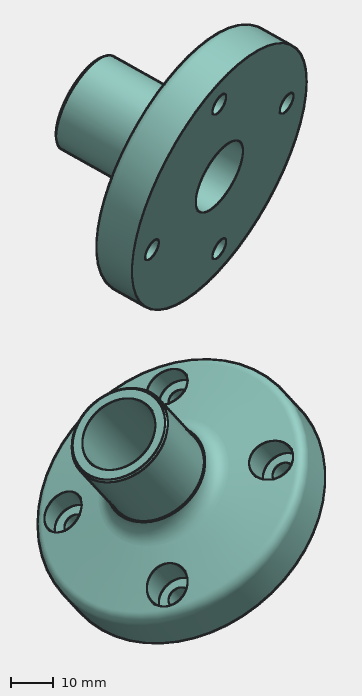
import cadquery as cq
import math

total_length = 38.5
flange_radius = 35.05
rim_width = 9.0
rim_round = 2.5
cone_angle = math.radians(10)

tube_radius = 12.5
bore_diameter = 18.9
tube_chamfer = 0.5

neck_length = 18.6
neck_round = 5.0
neck_cone_radius = 16.9

hole_count = 4
hole_circle_radius = 27.0
hole_diameter = 5.5
counterbore_diameter = 10.5
hole_floor_thickness = 6.0


def point_on_arc(center, radius, angle):
    """Point at an angle measured from the +X direction."""
    return (center[0] + radius * math.cos(angle), center[1] + radius * math.sin(angle))


def make_body():
    """Revolve the half profile, given as (x, radius), about the X axis."""
    back_x = total_length / 2
    front_x = -total_length / 2
    neck_x = back_x - neck_length

    rim_center = (back_x - rim_width, flange_radius - rim_round)
    rim_start = (rim_center[0], flange_radius)
    rim_end_angle = math.pi - cone_angle
    rim_mid = point_on_arc(rim_center, rim_round, (math.pi / 2 + rim_end_angle) / 2)
    rim_end = point_on_arc(rim_center, rim_round, rim_end_angle)

    cone_inner_x = rim_end[0] - (rim_end[1] - neck_cone_radius) * math.tan(cone_angle)
    cone_inner = (cone_inner_x, neck_cone_radius)
    neck_start_angle = -cone_angle
    neck_center = point_on_arc(cone_inner, neck_round, math.pi - cone_angle)
    neck_end_angle = -math.acos((neck_x - neck_center[0]) / neck_round)
    neck_mid = point_on_arc(neck_center, neck_round, (neck_start_angle + neck_end_angle) / 2)
    neck_end = point_on_arc(neck_center, neck_round, neck_end_angle)

    profile = (
        cq.Workplane("XY")
        .moveTo(front_x, 0)
        .lineTo(front_x, tube_radius - tube_chamfer)
        .lineTo(front_x + tube_chamfer, tube_radius)
        .lineTo(neck_x, tube_radius)
        .lineTo(*neck_end)
        .threePointArc(neck_mid, cone_inner)
        .lineTo(*rim_end)
        .threePointArc(rim_mid, rim_start)
        .lineTo(back_x, flange_radius)
        .lineTo(back_x, 0)
        .close()
    )
    return profile.revolve(360, (0, 0, 0), (1, 0, 0))


def cylinder_from_back(diameter, start, length):
    """Cylinder along -X that starts at a distance in front of the mounting face."""
    return (
        cq.Workplane("YZ")
        .workplane(offset=total_length / 2 - start)
        .circle(diameter / 2)
        .extrude(-length)
    )


def make_mounting_hole():
    """Cutter for one counterbored hole at the top of the hole circle."""
    through_hole = cylinder_from_back(hole_diameter, 0, neck_length)
    counterbore = cylinder_from_back(
        counterbore_diameter, hole_floor_thickness, neck_length - hole_floor_thickness
    )
    return through_hole.union(counterbore).translate((0, 0, hole_circle_radius))


result = make_body().cut(cylinder_from_back(bore_diameter, 0, total_length))
mounting_hole = make_mounting_hole()
for index in range(hole_count):
    angle = index * 360 / hole_count
    result = result.cut(mounting_hole.rotate((0, 0, 0), (1, 0, 0), angle))